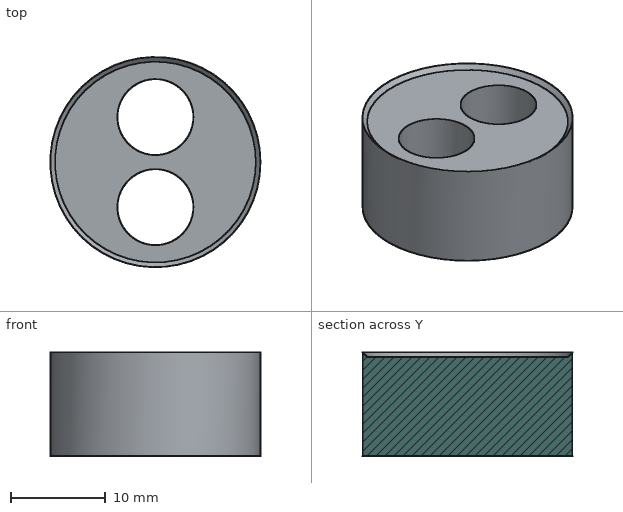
import cadquery as cq

outer_diameter = 22.2
height = 11.0
hole_diameter = 8.0
hole_spacing = 9.5
recess_depth = 0.5
recess_wall_run = 0.5

outer_radius = outer_diameter / 2
recess_floor_radius = outer_radius - recess_wall_run
floor_height = height - recess_depth


def make_body():
    """Cylinder with a shallow conical dish in its top, leaving a sharp rim."""
    profile = [
        (0, 0),
        (outer_radius, 0),
        (outer_radius, height),
        (recess_floor_radius, floor_height),
        (0, floor_height),
    ]
    return cq.Workplane("XZ").polyline(profile).close().revolve(360, (0, 0), (0, 1))


def make_holes():
    """Two round through holes, placed symmetrically along Y."""
    centres = [(0, -hole_spacing / 2), (0, hole_spacing / 2)]
    return cq.Workplane("XY").pushPoints(centres).circle(hole_diameter / 2).extrude(height)


result = make_body().cut(make_holes())